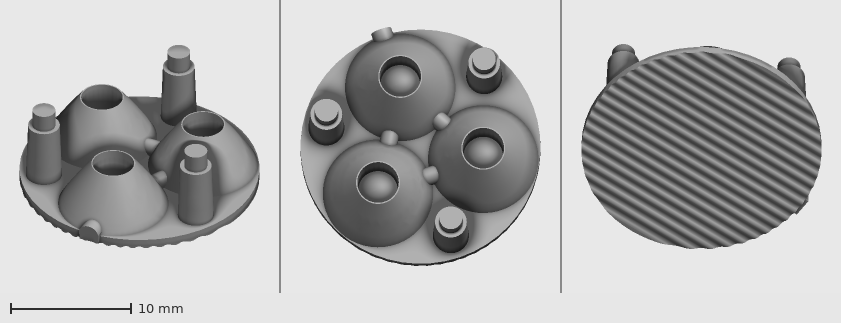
import cadquery as cq
import math

DISC_RADIUS = 9.98
DISC_TOP = 0.85

RIPPLE_PITCH = 1.02
RIPPLE_DEPTH = 0.18
GROOVES_PER_SIDE = 9

CONE_CIRCLE_RADIUS = 5.33
CONE_ANGLES = (30, 150, 270)
CONE_BASE_RADIUS = 4.6
CONE_TOP_RADIUS = 1.83
CONE_TOP = 5.0
CONE_BULGE = 0.08

POCKET_MOUTH_RADIUS = 1.73
POCKET_FLOOR_RADIUS = 1.65
POCKET_DEPTH = 3.0
DOME_HEIGHT = 0.5

POST_CIRCLE_RADIUS = 7.99
POST_ANGLES = (90, 210, 330)
POST_BASE_RADIUS = 1.5
POST_TOP_RADIUS = 1.32
POST_SHOULDER = 5.98
PIN_RADIUS = 0.95
PIN_TOP = 7.5

ARCH_CROWN = 1.85
BRIDGE_HALF_WIDTH = 0.75
BRIDGE_SPRING = 1.1
BRIDGE_LENGTH = 2.03
GATE_HALF_WIDTH = 0.87
GATE_FOOT_HALF_WIDTH = 0.83
GATE_SPRING = 1.15
GATE_FOOT = 0.37
GATE_END = 10.35
GATE_LENGTH = 2.44


def polar(radius, angle):
    """X and Y of the point at this radius and angle in degrees."""
    return radius * math.cos(math.radians(angle)), radius * math.sin(math.radians(angle))


def rippled_disc():
    """Round disc whose underside is a wave of tangent arcs, with straight grooves along Y."""
    quarter_pitch = RIPPLE_PITCH / 4
    wave_radius = (quarter_pitch**2 + (RIPPLE_DEPTH / 2) ** 2) / RIPPLE_DEPTH
    half_angle = math.asin(quarter_pitch / wave_radius) / 2
    arc_run = wave_radius * math.sin(half_angle)
    arc_rise = wave_radius * (1 - math.cos(half_angle))
    wave_end = (GROOVES_PER_SIDE + 0.5) * RIPPLE_PITCH

    wave = cq.Workplane("XZ").moveTo(-wave_end, -RIPPLE_DEPTH).lineTo(-wave_end, 0)
    for index in range(-GROOVES_PER_SIDE, GROOVES_PER_SIDE + 1):
        middle = index * RIPPLE_PITCH
        left_tip = middle - RIPPLE_PITCH / 2
        right_tip = middle + RIPPLE_PITCH / 2
        wave = (
            wave.threePointArc((left_tip + arc_run, arc_rise), (middle - quarter_pitch, RIPPLE_DEPTH / 2))
            .threePointArc((middle, RIPPLE_DEPTH), (middle + quarter_pitch, RIPPLE_DEPTH / 2))
            .threePointArc((right_tip - arc_run, arc_rise), (right_tip, 0))
        )
    grooves = wave.lineTo(wave_end, -RIPPLE_DEPTH).close().extrude(DISC_RADIUS, both=True)
    return cq.Workplane("XY").circle(DISC_RADIUS).extrude(DISC_TOP).cut(grooves)


def lens_cone():
    """Cone with a slightly convex side, standing on the disc top."""
    rise = CONE_TOP - DISC_TOP
    run = CONE_BASE_RADIUS - CONE_TOP_RADIUS
    slant = math.hypot(rise, run)
    side_middle = (
        (CONE_BASE_RADIUS + CONE_TOP_RADIUS) / 2 + CONE_BULGE * rise / slant,
        (DISC_TOP + CONE_TOP) / 2 + CONE_BULGE * run / slant,
    )
    return (
        cq.Workplane("XZ")
        .moveTo(0, DISC_TOP / 2)
        .lineTo(CONE_BASE_RADIUS, DISC_TOP / 2)
        .lineTo(CONE_BASE_RADIUS, DISC_TOP)
        .threePointArc(side_middle, (CONE_TOP_RADIUS, CONE_TOP))
        .lineTo(0, CONE_TOP)
        .close()
        .revolve(360, (0, 0), (0, 1))
    )


def lens_pocket():
    """Tapered pocket in a cone, its floor rising to a spherical dome."""
    floor_edge = CONE_TOP - POCKET_DEPTH
    dome_radius = (POCKET_FLOOR_RADIUS**2 + DOME_HEIGHT**2) / (2 * DOME_HEIGHT)
    dome_half_angle = math.asin(POCKET_FLOOR_RADIUS / dome_radius) / 2
    dome_top = floor_edge + DOME_HEIGHT
    dome_middle = (
        dome_radius * math.sin(dome_half_angle),
        dome_top - dome_radius * (1 - math.cos(dome_half_angle)),
    )
    return (
        cq.Workplane("XZ")
        .moveTo(0, CONE_TOP)
        .lineTo(POCKET_MOUTH_RADIUS, CONE_TOP)
        .lineTo(POCKET_FLOOR_RADIUS, floor_edge)
        .threePointArc(dome_middle, (0, dome_top))
        .close()
        .revolve(360, (0, 0), (0, 1))
    )


def post():
    """Tapered post with a plain pin on its shoulder."""
    return (
        cq.Workplane("XZ")
        .moveTo(0, DISC_TOP / 2)
        .lineTo(POST_BASE_RADIUS, DISC_TOP / 2)
        .lineTo(POST_BASE_RADIUS, DISC_TOP)
        .lineTo(POST_TOP_RADIUS, POST_SHOULDER)
        .lineTo(PIN_RADIUS, POST_SHOULDER)
        .lineTo(PIN_RADIUS, PIN_TOP)
        .lineTo(0, PIN_TOP)
        .close()
        .revolve(360, (0, 0), (0, 1))
    )


def arched_bar(half_width, foot_half_width, spring, foot, length):
    """Bar along Y from the origin toward +Y, with an arched top."""
    return (
        cq.Workplane("XZ")
        .moveTo(-foot_half_width, foot)
        .lineTo(-half_width, spring)
        .threePointArc((0, ARCH_CROWN), (half_width, spring))
        .lineTo(foot_half_width, foot)
        .close()
        .extrude(-length)
    )


def bridge():
    """Bar along X joining the two cones on the +Y side across the gap between them."""
    bar = arched_bar(BRIDGE_HALF_WIDTH, BRIDGE_HALF_WIDTH, BRIDGE_SPRING, DISC_TOP / 2, BRIDGE_LENGTH)
    gap_middle = CONE_CIRCLE_RADIUS / 2
    return (
        bar.translate((0, -BRIDGE_LENGTH / 2, 0))
        .rotate((0, 0, 0), (0, 0, 1), 90)
        .translate((0, gap_middle, 0))
    )


def gate():
    """Bar running from beyond the rim into the cone on the -Y side."""
    bar = arched_bar(GATE_HALF_WIDTH, GATE_FOOT_HALF_WIDTH, GATE_SPRING, GATE_FOOT, GATE_LENGTH)
    return bar.translate((0, -GATE_END, 0))


result = rippled_disc().union(gate())
for angle in CONE_ANGLES:
    result = result.union(lens_cone().translate((*polar(CONE_CIRCLE_RADIUS, angle), 0)))
for turn in (0, 120, 240):
    result = result.union(bridge().rotate((0, 0, 0), (0, 0, 1), turn))
for angle in POST_ANGLES:
    result = result.union(post().translate((*polar(POST_CIRCLE_RADIUS, angle), 0)))
for angle in CONE_ANGLES:
    result = result.cut(lens_pocket().translate((*polar(CONE_CIRCLE_RADIUS, angle), 0)))